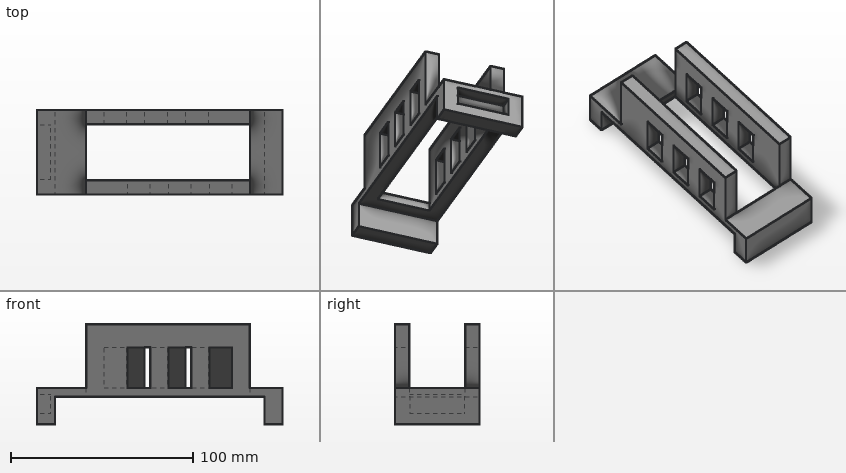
import cadquery as cq

length = 135.0
width = 46.5
height = 55.0

plate_thickness = 5.0
leg_height = 15.0
leg_length = 10.0
plate_top = leg_height + plate_thickness

wall_thickness = 8.0
wall_start = 27.0
wall_length = 90.0
wall_end = wall_start + wall_length
wall_gap = width - 2 * wall_thickness

window_count = 3
window_width = 12.5
window_height = 22.25
window_pitch = 22.5
window_near_margin = 9.75
window_row_length = (window_count - 1) * window_pitch + window_width

pocket_width = 30.0
pocket_height = 10.5
pocket_depth = 7.5
pocket_bottom = 6.0


def block(x, y, z, size_x, size_y, size_z):
    """Box with its lowest corner at (x, y, z)."""
    return cq.Workplane("XY").box(size_x, size_y, size_z, centered=False).translate((x, y, z))


def make_profile():
    """Side outline of the legs, plate and walls, extruded across the full width."""
    outline = [
        (0, 0),
        (leg_length, 0),
        (leg_length, leg_height),
        (length - leg_length, leg_height),
        (length - leg_length, 0),
        (length, 0),
        (length, plate_top),
        (wall_end, plate_top),
        (wall_end, height),
        (wall_start, height),
        (wall_start, plate_top),
        (0, plate_top),
    ]
    return cq.Workplane("XZ").polyline(outline).close().extrude(-width)


def cut_channel(body):
    """Open the space between the walls, down through the plate."""
    channel = block(wall_start, wall_thickness, leg_height, wall_length, wall_gap, height - leg_height)
    return body.cut(channel)


def cut_window_row(body, row_start, wall_y):
    """Cut the evenly spaced windows through one wall."""
    for index in range(window_count):
        x = row_start + index * window_pitch
        window = block(x, wall_y, plate_top, window_width, wall_thickness, window_height)
        body = body.cut(window)
    return body


def cut_leg_pocket(body):
    """Sink the blind pocket, centred across the width, into the low-X leg."""
    pocket_y = (width - pocket_width) / 2
    return body.cut(block(0, pocket_y, pocket_bottom, pocket_depth, pocket_width, pocket_height))


body = cut_channel(make_profile())

front_row_start = wall_end - window_near_margin - window_row_length
back_row_start = wall_start + window_near_margin
body = cut_window_row(body, front_row_start, 0)
body = cut_window_row(body, back_row_start, width - wall_thickness)

result = cut_leg_pocket(body)